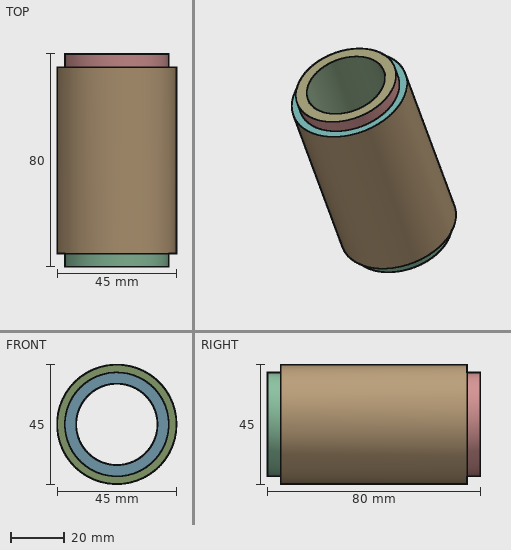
import cadquery as cq

total_length = 80.0
body_diameter = 45.0
spigot_diameter = 39.0
bore_diameter = 30.5
spigot_length = 5.0
body_length = total_length - 2 * spigot_length


def cylinder_along_y(diameter, length):
    """Cylinder centred on the origin with its axis along Y."""
    return cq.Workplane("XZ", origin=(0, length / 2, 0)).circle(diameter / 2).extrude(length)


body = cylinder_along_y(body_diameter, body_length)
spigots = cylinder_along_y(spigot_diameter, total_length)
bore = cylinder_along_y(bore_diameter, total_length)

result = body.union(spigots).cut(bore)